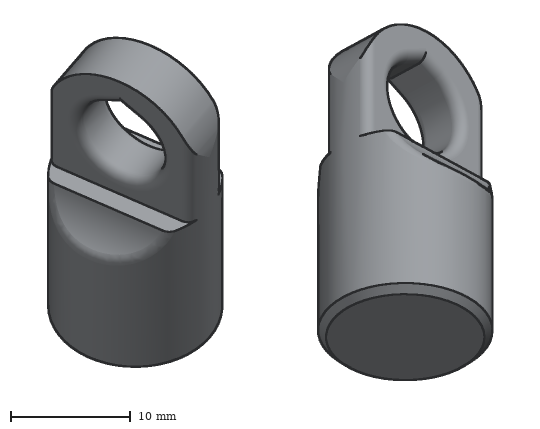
import cadquery as cq
import math

height = 29.3
body_diameter = 14.6
base_chamfer = 0.67
shoulder_height = 16.0

tang_thickness = 5.0
tang_edge_radius = 1.0

eye_diameter = 8.12
eye_edge_radius = 1.0
eye_roof_angle = 26.0

scallop_shoulder_y = 4.3
scallop_side_height = 12.83
scallop_radius = 6.45
scallop_edge_radius = 1.0

body_radius = body_diameter / 2
eye_radius = eye_diameter / 2
eye_height = height - body_radius
eye_roof_top = eye_height + eye_radius / math.cos(math.radians(eye_roof_angle))
selection_margin = 0.3


def make_body():
    """Round body with a chamfered base."""
    return cq.Workplane("XY").circle(body_radius).extrude(shoulder_height).faces("<Z").chamfer(base_chamfer)


def cut_scallops(body):
    """Hollow both sides of the shoulder with concave arcs running along X, then round the rims."""
    rise = shoulder_height - scallop_side_height
    run = body_radius - scallop_shoulder_y
    chord = math.hypot(run, rise)
    sagitta = scallop_radius - math.sqrt(scallop_radius**2 - (chord / 2) ** 2)
    middle_y = (scallop_shoulder_y + body_radius) / 2 - sagitta * rise / chord
    middle_z = (shoulder_height + scallop_side_height) / 2 - sagitta * run / chord
    for side in (-1, 1):
        cutter = (
            cq.Workplane("YZ")
            .moveTo(side * scallop_shoulder_y, shoulder_height)
            .threePointArc((side * middle_y, middle_z), (side * body_radius, scallop_side_height))
            .lineTo(side * body_diameter, scallop_side_height)
            .lineTo(side * body_diameter, shoulder_height)
            .close()
            .extrude(body_radius, both=True)
        )
        body = body.cut(cutter)
    rims = cq.selectors.BoxSelector(
        (-body_radius, -body_diameter, scallop_side_height - selection_margin),
        (body_radius, body_diameter, shoulder_height - selection_margin),
    )
    return body.edges(rims).edges("not %LINE").edges("not %CIRCLE").fillet(scallop_edge_radius)


def make_tang():
    """Flat tang standing on the shoulder, with rounded vertical edges and a round top."""
    slab = cq.Workplane("XY").box(body_diameter, tang_thickness, height, centered=(True, True, False))
    tang = cq.Workplane("XY").circle(body_radius).extrude(height).intersect(slab)
    tang = tang.edges("|Z").edges(">Y or <Y").fillet(tang_edge_radius)
    profile = (
        cq.Workplane("XZ")
        .moveTo(-body_radius, shoulder_height)
        .lineTo(-body_radius, eye_height)
        .threePointArc((0, height), (body_radius, eye_height))
        .lineTo(body_radius, shoulder_height)
        .close()
        .extrude(tang_thickness, both=True)
    )
    return tang.intersect(profile)


def eye_outline(plane, radius):
    """Circle with a pointed roof whose slopes are tangent to it."""
    angle = math.radians(eye_roof_angle)
    tangent_x = radius * math.sin(angle)
    tangent_z = eye_height + radius * math.cos(angle)
    return (
        plane.moveTo(-tangent_x, tangent_z)
        .threePointArc((0, eye_height - radius), (tangent_x, tangent_z))
        .lineTo(0, eye_height + radius / math.cos(angle))
        .close()
    )


def cut_eye(tang):
    """Cut the eye through the tang and round its rim on both faces."""
    tang = tang.cut(eye_outline(cq.Workplane("XZ"), eye_radius).extrude(tang_thickness, both=True))
    rim = cq.selectors.BoxSelector(
        (-eye_radius, -tang_thickness, eye_height - eye_radius - selection_margin),
        (eye_radius, tang_thickness, eye_roof_top + selection_margin),
    )
    return tang.edges(rim).edges("#Y").fillet(eye_edge_radius)


body = cut_scallops(make_body())
tang = cut_eye(make_tang())
result = body.union(tang)